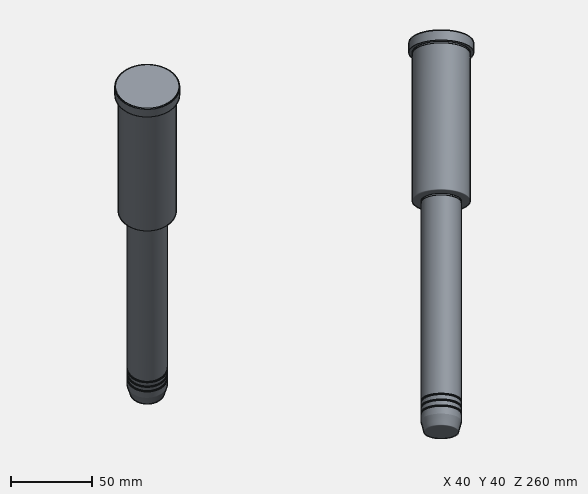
import cadquery as cq

total_length = 260.0

head_diameter = 40.0
head_thickness = 7.0
head_chamfer = 0.5

body_diameter = 36.0
body_bottom_z = 154.0
body_edge_fillet = 0.5

relief_width = 1.0
relief_depth = 0.3

shaft_diameter = 25.0
nose_length = 7.0
tip_diameter = 21.3
tip_fillet = 0.5

groove_count = 3
groove_pitch = 4.0
groove_width = 0.8
groove_depth = 0.4
lowest_groove_z = 12.2

head_bottom_z = total_length - head_thickness
body_radius = body_diameter / 2
shaft_radius = shaft_diameter / 2


def disc(diameter, bottom_z, top_z):
    """Solid cylinder on the pin axis between two heights."""
    return cq.Workplane("XY").workplane(offset=bottom_z).circle(diameter / 2).extrude(top_z - bottom_z)


def revolve_about_axis(profile):
    """Full turn of an XZ profile about the pin axis."""
    return profile.revolve(360, (0, 0, 0), (0, 1, 0))


def relief_cutter(radius, shoulder_z):
    """Ring of arc section, sunk into a cylinder right below a shoulder."""
    lower_z = shoulder_z - relief_width
    middle_z = shoulder_z - relief_width / 2
    profile = (
        cq.Workplane("XZ")
        .moveTo(radius, shoulder_z)
        .threePointArc((radius - relief_depth, middle_z), (radius, lower_z))
        .close()
    )
    return revolve_about_axis(profile)


def groove_cutter(bottom_z):
    """Rectangular-section ring sunk into the shaft."""
    profile = (
        cq.Workplane("XZ")
        .moveTo(shaft_radius - groove_depth, bottom_z)
        .rect(2 * groove_depth, groove_width, centered=False)
    )
    return revolve_about_axis(profile)


def make_head():
    return disc(head_diameter, head_bottom_z, total_length).faces(">Z").edges().chamfer(head_chamfer)


def make_body():
    body = disc(body_diameter, body_bottom_z, head_bottom_z)
    body = body.faces("<Z").edges().fillet(body_edge_fillet)
    return body.cut(relief_cutter(body_radius, head_bottom_z))


def make_shaft():
    """Grooved shaft that tapers to a smaller, softened tip."""
    profile = (
        cq.Workplane("XZ")
        .lineTo(tip_diameter / 2, 0)
        .lineTo(shaft_radius, nose_length)
        .lineTo(shaft_radius, body_bottom_z)
        .lineTo(0, body_bottom_z)
        .close()
    )
    shaft = revolve_about_axis(profile).faces("<Z").edges().fillet(tip_fillet)
    shaft = shaft.cut(relief_cutter(shaft_radius, body_bottom_z))
    for i in range(groove_count):
        shaft = shaft.cut(groove_cutter(lowest_groove_z + i * groove_pitch))
    return shaft


result = make_shaft().union(make_body()).union(make_head())